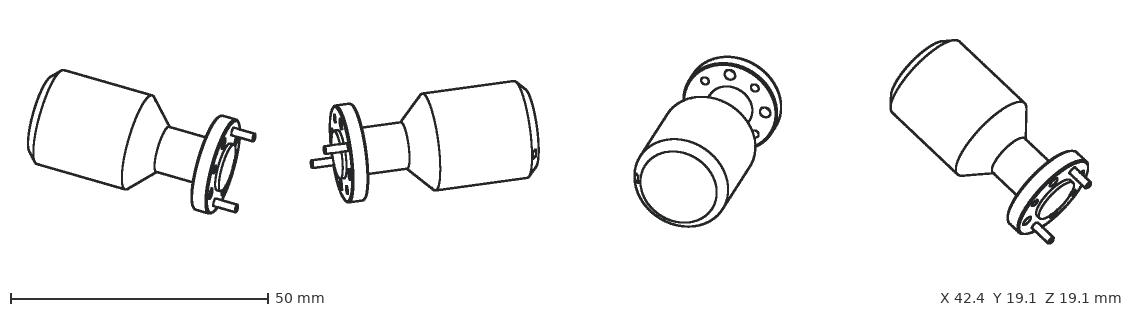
import cadquery as cq
import math

nose_length = 1.78
shoulder_start = 20.1
neck_start = 25.07
flange_front = 34.45
flange_thickness = 3.25
boss_height = 0.75
overall_length = 42.35

barrel_radius = 9.53
nose_radius = 7.75
neck_radius = 4.57
flange_radius = barrel_radius
flange_chamfer = 0.25
boss_radius = 4.75

hole_circle_radius = 7.15
screw_hole_diameter = 2.1
pin_diameter = 1.55
pin_chamfer = 0.15
upper_pin_setback = 0.13
screw_hole_angles = (0, 90, 180, 270)
dowel_hole_angles = (135, 315)
upper_pin_angle = 45
lower_pin_angle = 225
pin_angles = (upper_pin_angle, lower_pin_angle)

slot_width = 1.6
slot_floor_y = 8.43
slot_end_x = 1.52

flange_back = flange_front + flange_thickness
boss_end = flange_back + boss_height


def circle_point(angle):
    """Return (y, z) on the hole circle, measured from +Y towards +Z."""
    turn = math.radians(angle)
    return hole_circle_radius * math.cos(turn), hole_circle_radius * math.sin(turn)


def rod_on_circle(angle, diameter, start_x, end_x):
    """Cylinder parallel to X, centred on the hole circle."""
    return (
        cq.Workplane("YZ", origin=(start_x, 0, 0))
        .center(*circle_point(angle))
        .circle(diameter / 2)
        .extrude(end_x - start_x)
    )


def make_turned_blank():
    """Barrel, neck, flange and boss revolved about X."""
    flange_rim = flange_radius - flange_chamfer
    outline = [
        (0, 0),
        (0, nose_radius),
        (nose_length, barrel_radius),
        (shoulder_start, barrel_radius),
        (neck_start, neck_radius),
        (flange_front, neck_radius),
        (flange_front, flange_rim),
        (flange_front + flange_chamfer, flange_radius),
        (flange_back - flange_chamfer, flange_radius),
        (flange_back, flange_rim),
        (flange_back, boss_radius),
        (boss_end, boss_radius),
        (boss_end, 0),
    ]
    return cq.Workplane("XY").polyline(outline).close().revolve(360, (0, 0, 0), (1, 0, 0))


def make_key_slot():
    """Cutter open towards -X and +Y, with a flat end wall at slot_end_x."""
    depth = barrel_radius - slot_floor_y
    cutter = cq.Workplane("XY").box(slot_end_x, depth, slot_width, centered=(False, False, True))
    return cutter.translate((0, slot_floor_y, 0))


def make_housing():
    housing = make_turned_blank().cut(make_key_slot())
    for angle in screw_hole_angles:
        housing = housing.cut(rod_on_circle(angle, screw_hole_diameter, flange_front, flange_back))
    for angle in dowel_hole_angles + pin_angles:
        housing = housing.cut(rod_on_circle(angle, pin_diameter, flange_front, flange_back))
    return housing


def make_pin(angle, end_x):
    """Dowel pin flush with the flange front, chamfered at its free end."""
    pin = rod_on_circle(angle, pin_diameter, flange_front, end_x)
    return pin.faces(">X").chamfer(pin_chamfer)


housing = make_housing()
pin_ends = {
    upper_pin_angle: overall_length - upper_pin_setback,
    lower_pin_angle: overall_length,
}
pins = [make_pin(angle, pin_ends[angle]) for angle in pin_angles]
result = cq.Compound.makeCompound([housing.val(), *[pin.val() for pin in pins]])